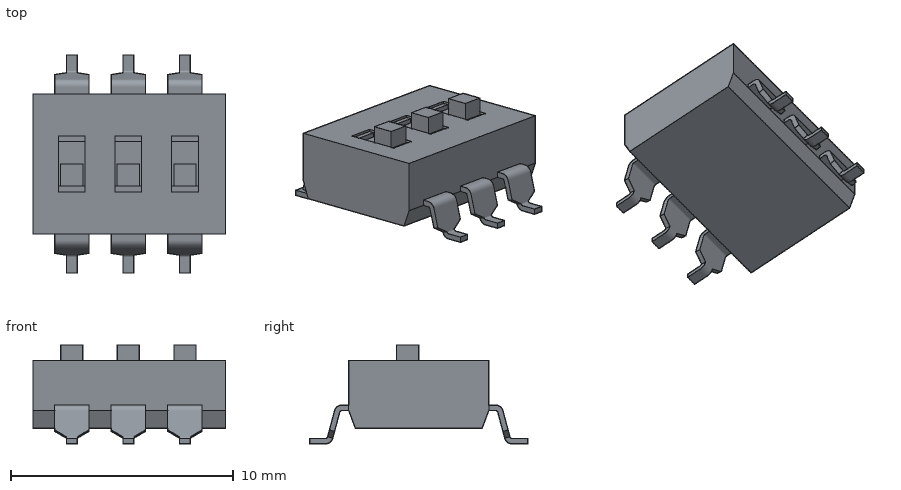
import cadquery as cq
import math

BODY_LENGTH = 8.66
BODY_WIDTH = 6.3
BODY_BOTTOM = 0.7
BODY_TOP = 3.75
TAPER_INSET = 0.3

PITCH = 2.54
MIDDLE_X = -0.04
POSITIONS = (MIDDLE_X - PITCH, MIDDLE_X, MIDDLE_X + PITCH)

WINDOW_LENGTH = 2.5
WINDOW_WIDTH = 1.2
WINDOW_DEPTH = 0.1
LEDGE_LENGTH = 0.25
WELL_DEPTH = 0.3

KNOB_SIZE = 1.0
KNOB_TOP = 4.45
WELL_LENGTH = WINDOW_LENGTH - 2 * LEDGE_LENGTH

LEAD_SPAN = 9.8
LEAD_THICKNESS = 0.25
LEAD_WIDTH = 1.55
FOOT_WIDTH = 0.5
ARM_TOP = 1.75
ARM_LENGTH = 0.3
ARM_EMBED = 0.3
BEND_OUTER = 0.35
BEND_INNER = BEND_OUTER - LEAD_THICKNESS
LEG_LEAN = math.radians(15)
NECK_LENGTH = 0.32

ARM_BOTTOM = ARM_TOP - LEAD_THICKNESS
BODY_FACE = BODY_WIDTH / 2


def polar(center, radius, angle):
    """Point at the given radius and angle around a (y, z) centre."""
    return (center[0] + radius * math.cos(angle), center[1] + radius * math.sin(angle))


UPPER_CENTER = (BODY_FACE + ARM_LENGTH, ARM_TOP - BEND_OUTER)
BEND_DROP = UPPER_CENTER[1] - BEND_OUTER
BEND_SHIFT = (BEND_OUTER + BEND_INNER + BEND_DROP * math.sin(LEG_LEAN)) / math.cos(LEG_LEAN)
LOWER_CENTER = (UPPER_CENTER[0] + BEND_SHIFT, BEND_OUTER)

UPPER_MIDDLE = (LEG_LEAN + math.pi / 2) / 2
LOWER_MIDDLE = UPPER_MIDDLE + math.pi


def make_body():
    half_bottom = BODY_FACE - TAPER_INSET
    outline = [
        (-half_bottom, BODY_BOTTOM),
        (half_bottom, BODY_BOTTOM),
        (BODY_FACE, ARM_BOTTOM),
        (BODY_FACE, BODY_TOP),
        (-BODY_FACE, BODY_TOP),
        (-BODY_FACE, ARM_BOTTOM),
    ]
    return cq.Workplane("YZ").polyline(outline).close().extrude(BODY_LENGTH / 2, both=True)


def top_pocket(x, length, depth):
    """Rectangular pocket tool sunk into the top face at a switch position."""
    return (
        cq.Workplane("XY", origin=(x, 0, BODY_TOP))
        .rect(WINDOW_WIDTH, length)
        .extrude(-depth)
    )


def make_knob(x):
    floor = BODY_TOP - WELL_DEPTH
    knob_y = (KNOB_SIZE - WELL_LENGTH) / 2
    return (
        cq.Workplane("XY", origin=(x, knob_y, floor))
        .rect(KNOB_SIZE, KNOB_SIZE)
        .extrude(KNOB_TOP - floor)
    )


def lead_strip(width):
    """Bent strip of constant width: arm, upper bend, leaning leg, lower bend and foot."""
    arm_end = BODY_FACE - ARM_EMBED
    foot_end = LEAD_SPAN / 2
    return (
        cq.Workplane("YZ")
        .moveTo(arm_end, ARM_TOP)
        .lineTo(UPPER_CENTER[0], ARM_TOP)
        .threePointArc(
            polar(UPPER_CENTER, BEND_OUTER, UPPER_MIDDLE),
            polar(UPPER_CENTER, BEND_OUTER, LEG_LEAN),
        )
        .lineTo(*polar(LOWER_CENTER, BEND_INNER, LEG_LEAN + math.pi))
        .threePointArc(
            polar(LOWER_CENTER, BEND_INNER, LOWER_MIDDLE),
            (LOWER_CENTER[0], LEAD_THICKNESS),
        )
        .lineTo(foot_end, LEAD_THICKNESS)
        .lineTo(foot_end, 0)
        .lineTo(LOWER_CENTER[0], 0)
        .threePointArc(
            polar(LOWER_CENTER, BEND_OUTER, LOWER_MIDDLE),
            polar(LOWER_CENTER, BEND_OUTER, LEG_LEAN + math.pi),
        )
        .lineTo(*polar(UPPER_CENTER, BEND_INNER, LEG_LEAN))
        .threePointArc(
            polar(UPPER_CENTER, BEND_INNER, UPPER_MIDDLE),
            (UPPER_CENTER[0], ARM_BOTTOM),
        )
        .lineTo(arm_end, ARM_BOTTOM)
        .close()
        .extrude(width / 2, both=True)
    )


def neck_block():
    """Block, square to the leg, whose lower end narrows to the foot width."""
    leg_end = polar(LOWER_CENTER, BEND_OUTER, LEG_LEAN + math.pi)
    leg_plane = cq.Plane(
        origin=(0, leg_end[0], leg_end[1]),
        xDir=(1, 0, 0),
        normal=(0, math.cos(LEG_LEAN), math.sin(LEG_LEAN)),
    )
    outline = [
        (-FOOT_WIDTH / 2, 0),
        (FOOT_WIDTH / 2, 0),
        (LEAD_WIDTH / 2, -NECK_LENGTH),
        (LEAD_WIDTH / 2, -LEAD_SPAN),
        (-LEAD_WIDTH / 2, -LEAD_SPAN),
        (-LEAD_WIDTH / 2, -NECK_LENGTH),
    ]
    return cq.Workplane(leg_plane).polyline(outline).close().extrude(LEAD_SPAN, both=True)


def make_lead():
    """One lead on the +Y side, centred on X = 0."""
    wide_part = lead_strip(LEAD_WIDTH).intersect(neck_block())
    return wide_part.union(lead_strip(FOOT_WIDTH))


result = make_body()

for position in POSITIONS:
    result = result.cut(top_pocket(position, WINDOW_LENGTH, WINDOW_DEPTH))
    result = result.cut(top_pocket(position, WELL_LENGTH, WELL_DEPTH))
    result = result.union(make_knob(position))

rear_lead = make_lead()
front_lead = rear_lead.mirror("XZ")
for position in POSITIONS:
    result = result.union(rear_lead.translate((position, 0, 0)))
    result = result.union(front_lead.translate((position, 0, 0)))